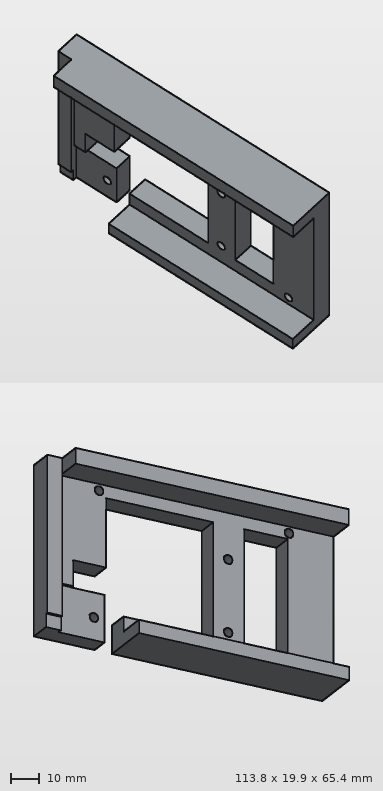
import cadquery as cq

length = 113.8
height = 65.4
depth = 19.9

plate_thickness = 8.5
corner_thickness = 7.3
end_wall_depth = 10.0
end_wall_foot_depth = 9.0
top_flange_depth = 19.7

end_wall_width = 5.9
top_flange_height = 6.0
bottom_flange_height = 5.1

opening_left = 24.0
opening_right = 66.2
window_left = 78.5
window_right = 95.7
opening_bottom = 10.9
opening_top = 54.6
notch_left = 11.0
notch_bottom = 18.2
notch_top = 28.1
gap_right = 30.8

hole_diameter = 3.4
upper_hole_z = 56.9
lower_hole_z = 8.6
middle_hole_x = 72.1
hole_centres = [
    (21.2, upper_hole_z),
    (96.2, upper_hole_z),
    (middle_hole_x, 41.7),
    (middle_hole_x, 13.8),
    (19.8, lower_hole_z),
    (102.4, lower_hole_z),
]


def block(x_start, x_end, z_start, z_end, y_depth):
    """Box reaching from the back face to y_depth in front of it."""
    size = (x_end - x_start, y_depth, z_end - z_start)
    return cq.Workplane("XY").box(*size, centered=False).translate((x_start, -y_depth, z_start))


def cutter(x_start, x_end, z_start, z_end):
    """Box that cuts through the full depth of the part."""
    return block(x_start, x_end, z_start, z_end, depth)


plate = block(0, length, 0, height, plate_thickness)
plate = plate.cut(cutter(opening_left, opening_right, opening_bottom, opening_top))
plate = plate.cut(cutter(window_left, window_right, opening_bottom, opening_top))
plate = plate.cut(cutter(notch_left, opening_left, notch_bottom, notch_top))
plate = plate.cut(cutter(0, gap_right, 0, notch_bottom))

corner = block(0, opening_left, 0, notch_bottom, corner_thickness)

end_wall = block(0, end_wall_width, bottom_flange_height, height, end_wall_depth)
end_wall_foot = block(0, end_wall_width, 0, bottom_flange_height, end_wall_foot_depth)

top_flange = block(end_wall_width, length, height - top_flange_height, height, top_flange_depth)
bottom_flange = block(gap_right, length, 0, bottom_flange_height, depth)

body = plate
for piece in (corner, end_wall, end_wall_foot, top_flange, bottom_flange):
    body = body.union(piece)

holes = cq.Workplane("XZ").pushPoints(hole_centres).circle(hole_diameter / 2).extrude(depth)

result = body.cut(holes)